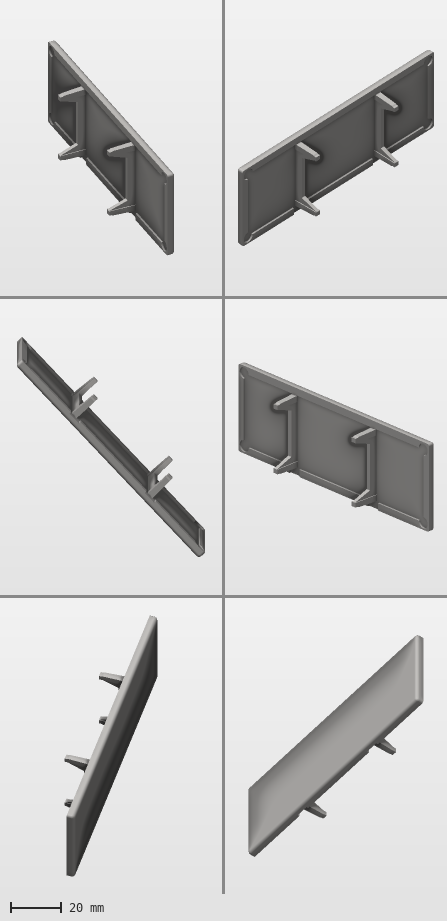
import cadquery as cq

plate_length = 107.0
plate_height = 38.3
plate_thickness = 3.35
corner_radius = 1.0
back_edge_radius = 1.35

recess_depth = 0.8
side_rim = 3.0
end_rim = 3.2
relief_radius = 2.5
relief_side_inset = 3.25

clip_offset = 22.15
clip_reach = 10.65
leg_width = 2.65
leg_draft = 0.5
leg_root_inset = 3.45
leg_tip_drop = 0.4
leg_inner_inset = 6.15
rib_side_step = 0.35
rib_height = 2.6
gusset_inset = 9.0

step_drop = 0.3
step_start = 1.6
step_end = 1.0

notch_offset = 22.0
notch_width = 5.5

half_height = plate_height / 2
recess_half_length = plate_length / 2 - side_rim
recess_half_height = half_height - end_rim


def box(x_range, y_range, z_range):
    """Box spanning the given X, Y and Z ranges."""
    size = [high - low for low, high in (x_range, y_range, z_range)]
    corner = (x_range[0], y_range[0], z_range[0])
    return cq.Workplane("XY").box(*size, centered=False).translate(corner)


def make_plate():
    """Rectangular plate with rounded corners and a rounded back edge."""
    plate = cq.Workplane("XZ").rect(plate_length, plate_height).extrude(-plate_thickness)
    plate = plate.edges("|Y").fillet(corner_radius)
    return plate.faces(">Y").edges().fillet(back_edge_radius)


def make_recess():
    """Recess volume: rectangle, corner reliefs and the two lower notches."""
    recess = cq.Workplane("XZ").rect(2 * recess_half_length, 2 * recess_half_height).extrude(-recess_depth)
    reliefs = (
        cq.Workplane("XZ")
        .rect(plate_length - 2 * relief_side_inset, 2 * recess_half_height, forConstruction=True)
        .vertices()
        .circle(relief_radius)
        .extrude(-recess_depth)
    )
    recess = recess.union(reliefs)
    for side in (-1, 1):
        centre = side * notch_offset
        notch = box(
            (centre - notch_width / 2, centre + notch_width / 2),
            (0, recess_depth),
            (-half_height, -recess_half_height + relief_radius),
        )
        recess = recess.union(notch)
    return recess


def extrude_side_profile(points, x_start, x_end):
    """Extrude a closed (Y, Z) outline from x_start to x_end."""
    return cq.Workplane("YZ").polyline(points).close().extrude(x_end - x_start).translate((x_start, 0, 0))


def make_upper_leg(x_start, x_end):
    """Leg near the top edge, standing on the recess floor."""
    root_z = half_height - leg_root_inset
    step_z = root_z - leg_tip_drop
    inner_z = half_height - leg_inner_inset
    points = [
        (recess_depth, inner_z),
        (recess_depth, root_z),
        (-clip_reach + step_start, step_z),
        (-clip_reach + step_end, step_z - step_drop),
        (-clip_reach, step_z - step_drop),
        (-clip_reach, inner_z),
    ]
    return extrude_side_profile(points, x_start, x_end)


def make_rib(x_start, x_end):
    """Rib between the legs, rising at both ends as gussets to the leg tips."""
    leg_z = half_height - leg_inner_inset
    gusset_z = half_height - gusset_inset
    points = [
        (recess_depth, leg_z),
        (-clip_reach, leg_z),
        (-rib_height, gusset_z),
        (-rib_height, -gusset_z),
        (-clip_reach, -leg_z),
        (recess_depth, -leg_z),
    ]
    return extrude_side_profile(points, x_start, x_end)


def draft_wedge(outer_x):
    """Wedge that tapers an outer side face towards the tips of the legs."""
    points = [(outer_x, recess_depth), (outer_x + leg_draft, -clip_reach), (outer_x, -clip_reach)]
    return cq.Workplane("XY").polyline(points).close().extrude(plate_height).translate((0, 0, -half_height))


def make_left_clip():
    """Clip on the -X side, including the pad that backs its top leg and ties it to the rim."""
    outer_x = -clip_offset - leg_width / 2
    inner_x = outer_x + leg_width
    rib_outer_x = outer_x + rib_side_step
    rib_inner_x = inner_x - rib_side_step

    upper_leg = make_upper_leg(outer_x, inner_x).cut(draft_wedge(outer_x))
    rib = make_rib(rib_outer_x, rib_inner_x).cut(draft_wedge(rib_outer_x))
    pad = box(
        (outer_x, inner_x),
        (0, recess_depth),
        (half_height - leg_inner_inset, recess_half_height),
    )
    return rib.union(upper_leg).union(upper_leg.mirror("XY")).union(pad)


left_clip = make_left_clip()
right_clip = left_clip.mirror("YZ")
result = make_plate().cut(make_recess()).union(left_clip).union(right_clip)